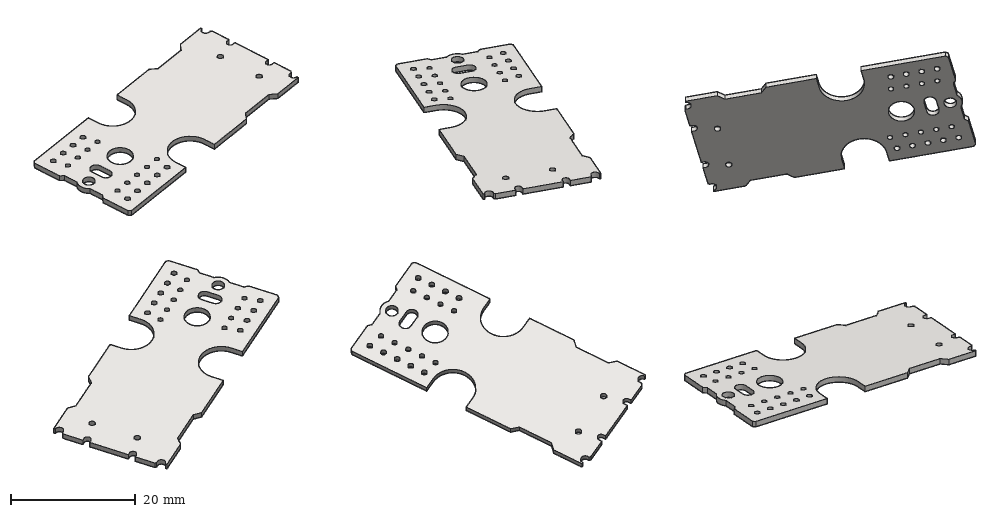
import cadquery as cq

WIDTH = 20.0
LENGTH = 43.8
THICKNESS = 1.0
TOP = LENGTH / 2
BOTTOM = -LENGTH / 2
SIDE = WIDTH / 2
BOTTOM_CORNER_CHAMFER = 0.4

RECESS_DEPTH = 1.0
RECESS_LENGTH = 8.0
RECESS_CENTRE_Y = TOP - 9.8

SIDE_NOTCH_WIDTH = 7.35
SIDE_NOTCH_CENTRE_Y = BOTTOM + 18.0
SIDE_NOTCH_TIP_X = 4.3

TOP_NOTCH_X = 4.05
TOP_NOTCH_WIDTH = 1.2
TOP_NOTCH_DEPTH = 1.1
CORNER_NOTCH_X = 9.02
CORNER_NOTCH_RADIUS = 0.7
CORNER_STEP = 0.53
CORNER_CHAMFER = 0.2

BOTTOM_RECESS_WIDTH = 8.95
BOTTOM_RECESS_DEPTH = 0.53
TAB_RADIUS = 2.0

LARGE_HOLE_DIAMETER = 4.2
LARGE_HOLE_Y = BOTTOM + 10.0
SLOT_LENGTH = 4.0
SLOT_WIDTH = 2.0
SLOT_Y = BOTTOM + 5.05
TAB_HOLE_DIAMETER = 2.0
TAB_HOLE_Y = BOTTOM + 1.93

UPPER_HOLE_DIAMETER = 1.0
UPPER_HOLE_Y = TOP - 4.2
UPPER_HOLES_X = (-3.05, 4.9)

PIN_PITCH = 2.55
OUTER_PIN_X = 3 * PIN_PITCH
INNER_PIN_X = 2 * PIN_PITCH
OUTER_PIN_DIAMETER = 0.9
INNER_PIN_DIAMETER = 0.85
OUTER_PIN_START_Y = BOTTOM + 2.3
INNER_PIN_START_Y = BOTTOM + 2.9
LEFT_PIN_COUNT = 4
RIGHT_PIN_COUNT = 5


def block(x_min, x_max, y_min, y_max):
    """Rectangular prism through the plate thickness."""
    size_x = x_max - x_min
    size_y = y_max - y_min
    return cq.Workplane("XY").box(size_x, size_y, THICKNESS, centered=False).translate((x_min, y_min, 0))


def disc(x, y, diameter):
    """Round prism through the plate thickness."""
    return cq.Workplane("XY").center(x, y).circle(diameter / 2).extrude(THICKNESS)


def side_recess():
    """Trapezoid cut from the right edge."""
    half = RECESS_LENGTH / 2
    floor_half = half - RECESS_DEPTH
    floor_x = SIDE - RECESS_DEPTH
    points = [
        (SIDE, RECESS_CENTRE_Y - half),
        (floor_x, RECESS_CENTRE_Y - floor_half),
        (floor_x, RECESS_CENTRE_Y + floor_half),
        (SIDE, RECESS_CENTRE_Y + half),
    ]
    return cq.Workplane("XY").polyline(points).close().extrude(THICKNESS)


def side_notch():
    """Round-ended notch cut from the right edge."""
    half = SIDE_NOTCH_WIDTH / 2
    centre_x = SIDE_NOTCH_TIP_X + half
    mouth = block(centre_x, SIDE, SIDE_NOTCH_CENTRE_Y - half, SIDE_NOTCH_CENTRE_Y + half)
    return mouth.union(disc(centre_x, SIDE_NOTCH_CENTRE_Y, SIDE_NOTCH_WIDTH))


def top_notch():
    """Round-bottomed notch right of centre on the top edge."""
    radius = TOP_NOTCH_WIDTH / 2
    centre_y = TOP - TOP_NOTCH_DEPTH + radius
    mouth = block(TOP_NOTCH_X - radius, TOP_NOTCH_X + radius, centre_y, TOP)
    return mouth.union(disc(TOP_NOTCH_X, centre_y, TOP_NOTCH_WIDTH))


def corner_notch():
    """Lowered top right corner with a half-round notch in its floor."""
    floor_y = TOP - CORNER_STEP
    step = block(CORNER_NOTCH_X - CORNER_NOTCH_RADIUS, SIDE, floor_y, TOP)
    return step.union(disc(CORNER_NOTCH_X, floor_y, 2 * CORNER_NOTCH_RADIUS))


def chamfer_corner(body, x, y, size):
    """Chamfer the vertical edge that passes through (x, y)."""
    reach = 0.05
    selector = cq.selectors.BoxSelector((x - reach, y - reach, 0), (x + reach, y + reach, THICKNESS))
    return body.edges("|Z").edges(selector).chamfer(size)


def bottom_recess():
    """Shallow trapezoid cut from the bottom edge."""
    half = BOTTOM_RECESS_WIDTH / 2
    floor_half = half - BOTTOM_RECESS_DEPTH
    floor_y = BOTTOM + BOTTOM_RECESS_DEPTH
    points = [(-half, BOTTOM), (half, BOTTOM), (floor_half, floor_y), (-floor_half, floor_y)]
    return cq.Workplane("XY").polyline(points).close().extrude(THICKNESS)


def drill(body, points, diameter):
    """Cut equal through holes at the given points."""
    return body.cut(cq.Workplane("XY").pushPoints(points).circle(diameter / 2).extrude(THICKNESS))


def pin_column(x, start_y, count):
    """Points of one column of pin holes, from the bottom up."""
    return [(x, start_y + i * PIN_PITCH) for i in range(count)]


plate = block(-SIDE, SIDE, BOTTOM, TOP)
for cutter in (side_recess(), side_notch(), top_notch(), corner_notch()):
    plate = plate.cut(cutter).cut(cutter.mirror("YZ"))

for side in (-1, 1):
    plate = chamfer_corner(plate, side * SIDE, BOTTOM, BOTTOM_CORNER_CHAMFER)
    plate = chamfer_corner(plate, side * (CORNER_NOTCH_X - CORNER_NOTCH_RADIUS), TOP, CORNER_CHAMFER)

tab_y = BOTTOM + TAB_RADIUS
plate = plate.cut(bottom_recess()).union(disc(0, tab_y, 2 * TAB_RADIUS))

plate = drill(plate, [(0, LARGE_HOLE_Y)], LARGE_HOLE_DIAMETER)
plate = drill(plate, [(0, TAB_HOLE_Y)], TAB_HOLE_DIAMETER)
slot = cq.Workplane("XY").center(0, SLOT_Y).slot2D(SLOT_LENGTH, SLOT_WIDTH).extrude(THICKNESS)
plate = plate.cut(slot)

plate = drill(plate, [(x, UPPER_HOLE_Y) for x in UPPER_HOLES_X], UPPER_HOLE_DIAMETER)
for side, count in ((-1, LEFT_PIN_COUNT), (1, RIGHT_PIN_COUNT)):
    plate = drill(plate, pin_column(side * OUTER_PIN_X, OUTER_PIN_START_Y, count), OUTER_PIN_DIAMETER)
    plate = drill(plate, pin_column(side * INNER_PIN_X, INNER_PIN_START_Y, count), INNER_PIN_DIAMETER)

result = plate